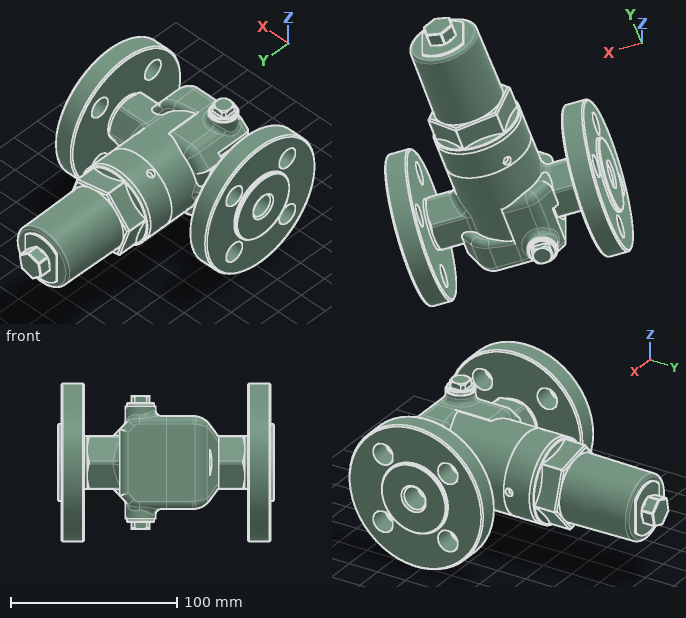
import cadquery as cq
import math


FLANGE_DIAMETER = 95.0
FLANGE_OUTER_X = 63.0
FLANGE_INNER_X = 49.0
FLANGE_EDGE_CHAMFER = 1.0
FACE_DIAMETER = 46.5
FACE_END_X = 65.0
FACE_CHAMFER = 0.7
BORE_DIAMETER = 15.0
BORE_CHAMFER = 1.3
BOLT_HOLE_DIAMETER = 14.0
BOLT_CIRCLE_DIAMETER = 65.0
BOLT_COUNT = 4

BARREL_DIAMETER = 55.0
BARREL_TOP_Y = 40.2
BARREL_BOTTOM_Y = -23.7
NOZZLE_FLATS = 32.0
NOZZLE_CORNER_FILLET = 1.8
NOZZLE_HEX_X = 46.0
NOZZLE_NECK_X = 47.3
NOZZLE_FILLET = 4.5

CHAMBER_HALF_HEIGHT = 28.0
CHAMBER_BOTTOM_Y = -28.5
CHAMBER_BOTTOM_FILLET = 4.7
INLET_TOP_FILLET = 6.5
INLET_SHOULDER_X = -20.0
INLET_SHOULDER_FILLET = 9.1
INLET_TOP_Y = 18.2
INLET_WALL_X = -27.7
INLET_NOSE = (-31.3, 16.4)
OUTLET_SHOULDER_X = 22.4
OUTLET_SHOULDER_FILLET = 12.7
OUTLET_TOP_Y = -7.6
OUTLET_NOSE = (31.7, 15.5)
OUTLET_BEND_X = 21.5
OUTLET_BEND_FILLET = 10.0
OUTLET_TOP_FILLET = 3.6
OUTLET_RISE_MID = (20.0, -4.2)
OUTLET_RISE_Y = 1.1

BOSS_X = -15.3
BOSS_Y = -17.3
BOSS_DIAMETER = 18.4
BOSS_TOP_Z = 33.7
BOSS_FILLET = 3.3
PLUG_COLLAR_DIAMETER = 16.5
PLUG_COLLAR_TOP_Z = 35.9
PLUG_COLLAR_CHAMFER = 0.5
PLUG_TOP_Z = 40.0
PLUG_SQUARE = 11.0
PLUG_CORNER_DIAMETER = 13.1
PLUG_TIP_DIAMETER = 11.0
PLUG_TIP_HEIGHT = 0.7

COLLAR_TOP_Y = 58.5
SPANNER_HOLE_DIAMETER = 5.1
SPANNER_HOLE_DEPTH = 3.6
SPANNER_HOLE_Y = 44.0
SPANNER_HOLE_COUNT = 3

BONNET_RIM_TOP_Y = 61.2
BONNET_HEX_TOP_Y = 76.3
BONNET_TOP_Y = 124.2
BONNET_FLATS = 45.9
BONNET_CORNER_DIAMETER = 52.8
BONNET_HEX_CHAMFER = 1.1
BONNET_HEX_ANGLE = 48.4
BONNET_CONE_HEIGHT = 2.0
BONNET_BASE_DIAMETER = 43.9
BONNET_CROWN_DIAMETER = 42.6
BONNET_CROWN_FILLET = 1.6

WASHER_DIAMETER = 33.9
WASHER_WIDTH = 25.9
WASHER_TOP_Y = 125.3

SCREW_SHANK_DIAMETER = 15.0
SCREW_HEAD_BOTTOM_Y = 126.5
SCREW_TOP_Y = 134.5
SCREW_FLATS = 16.8
SCREW_CORNER_DIAMETER = 19.0
SCREW_CHAMFER = 0.5
SCREW_HEX_ANGLE = 78.0


def y_disc(diameter, bottom, top):
    return cq.Workplane("XZ", origin=(0, bottom, 0)).circle(diameter / 2).extrude(bottom - top)


def y_cone(bottom_diameter, top_diameter, bottom, top):
    """Solid of revolution about Y with straight sides."""
    outline = cq.Workplane("XY").moveTo(0, bottom).lineTo(bottom_diameter / 2, bottom)
    outline = outline.lineTo(top_diameter / 2, top).lineTo(0, top).close()
    return outline.revolve(360, (0, 0, 0), (0, 1, 0))


def y_hexagon(flats, corner_diameter, first_corner, bottom, top, chamfer):
    """Hexagonal prism along Y with a chamfered top edge and its corners turned down."""
    corner_radius = flats / 2 / math.cos(math.pi / 6)
    corners = []
    for index in range(6):
        angle = math.radians(first_corner + 60 * index)
        corners.append((corner_radius * math.cos(angle), corner_radius * math.sin(angle)))
    prism = cq.Workplane("XZ", origin=(0, bottom, 0)).polyline(corners).close().extrude(bottom - top)
    prism = prism.faces(">Y").chamfer(chamfer)
    return prism.intersect(y_disc(corner_diameter, bottom, top))


def x_disc(diameter, start, end):
    return cq.Workplane("YZ", origin=(start, 0, 0)).circle(diameter / 2).extrude(end - start)


def mirrored_in_x(shape):
    return shape.mirror("YZ")


def make_right_flange():
    flange = x_disc(FLANGE_DIAMETER, FLANGE_INNER_X, FLANGE_OUTER_X).edges().chamfer(FLANGE_EDGE_CHAMFER)
    face = x_disc(FACE_DIAMETER, FLANGE_OUTER_X, FACE_END_X).faces(">X").chamfer(FACE_CHAMFER)
    flange = flange.union(face)
    bore = x_disc(BORE_DIAMETER, FLANGE_INNER_X, FACE_END_X)
    flange = flange.cut(bore)
    flange = flange.faces(">X").edges("%CIRCLE").edges(cq.selectors.RadiusNthSelector(0)).chamfer(BORE_CHAMFER)
    bolt_holes = (
        cq.Workplane("YZ", origin=(FLANGE_INNER_X, 0, 0))
        .polarArray(BOLT_CIRCLE_DIAMETER / 2, 360 / BOLT_COUNT / 2, 360, BOLT_COUNT)
        .circle(BOLT_HOLE_DIAMETER / 2)
        .extrude(FLANGE_OUTER_X - FLANGE_INNER_X)
    )
    return flange.cut(bolt_holes)


def make_right_nozzle():
    """Hexagonal nozzle with corners towards +Y and -Y and a turned neck against the flange."""
    corner_diameter = NOZZLE_FLATS / math.cos(math.pi / 6)
    hexagon = cq.Workplane("YZ").polygon(6, corner_diameter).extrude(NOZZLE_NECK_X)
    hexagon = hexagon.edges("|X").fillet(NOZZLE_CORNER_FILLET)
    turned = (
        x_disc(corner_diameter, 0, NOZZLE_NECK_X)
        .faces(">X")
        .chamfer(NOZZLE_NECK_X - NOZZLE_HEX_X, (corner_diameter - NOZZLE_FLATS) / 2)
    )
    neck = x_disc(NOZZLE_FLATS, NOZZLE_NECK_X, FLANGE_INNER_X)
    return hexagon.intersect(turned).union(neck)


def make_barrel_with_nozzles():
    barrel = y_disc(BARREL_DIAMETER, BARREL_BOTTOM_Y, BARREL_TOP_Y)
    nozzle = make_right_nozzle()
    body = barrel.union(nozzle).union(mirrored_in_x(nozzle))
    for side in (-1, 1):
        near_axis = (side * NOZZLE_FLATS / 2, -NOZZLE_FLATS, -NOZZLE_FLATS)
        past_barrel = (side * (BARREL_DIAMETER / 2 + NOZZLE_CORNER_FILLET), NOZZLE_FLATS, NOZZLE_FLATS)
        joint = cq.selectors.BoxSelector(near_axis, past_barrel)
        body = body.edges(joint).fillet(NOZZLE_FILLET)
    return body


def chamber_plan(shoulder_x, nose, bottom, top):
    """Chamber outline in X and Z, from the barrel axis to the nozzle, extruded along Y."""
    nose_x, nose_z = nose
    outline = [
        (0, CHAMBER_HALF_HEIGHT),
        (shoulder_x, CHAMBER_HALF_HEIGHT),
        (nose_x, nose_z),
        (nose_x, -nose_z),
        (shoulder_x, -CHAMBER_HALF_HEIGHT),
        (0, -CHAMBER_HALF_HEIGHT),
    ]
    return cq.Workplane("XZ", origin=(0, bottom, 0)).polyline(outline).close().extrude(bottom - top)


def round_shoulders(chamber, shoulder_x, radius):
    for z in (-CHAMBER_HALF_HEIGHT, CHAMBER_HALF_HEIGHT):
        shoulder = cq.selectors.NearestToPointSelector((shoulder_x, CHAMBER_BOTTOM_Y, z))
        chamber = chamber.edges("|Y").edges(shoulder).fillet(radius)
    return chamber


def make_inlet_chamber():
    """Chamber on the -X side: wide above the flow axis and stepped back to a wall below it."""
    chamber = chamber_plan(INLET_SHOULDER_X, INLET_NOSE, CHAMBER_BOTTOM_Y, INLET_TOP_Y)
    chamber = round_shoulders(chamber, INLET_SHOULDER_X, INLET_SHOULDER_FILLET)
    chamber = chamber.faces(">Y").edges("not(>X)").fillet(INLET_TOP_FILLET)
    step = (
        cq.Workplane("XY")
        .box(CHAMBER_HALF_HEIGHT, -CHAMBER_BOTTOM_Y, 2 * CHAMBER_HALF_HEIGHT, centered=(False, False, True))
        .translate((INLET_WALL_X - CHAMBER_HALF_HEIGHT, CHAMBER_BOTTOM_Y, 0))
    )
    chamber = chamber.cut(step)
    return chamber.faces("<Y").edges("not(>X)").fillet(CHAMBER_BOTTOM_FILLET)


def make_outlet_chamber():
    """Chamber on the +X side: a duct that turns from the bottom up to the nozzle."""
    nose_x = OUTLET_NOSE[0]
    plan = chamber_plan(OUTLET_SHOULDER_X, OUTLET_NOSE, CHAMBER_BOTTOM_Y, OUTLET_RISE_Y)
    plan = round_shoulders(plan, OUTLET_SHOULDER_X, OUTLET_SHOULDER_FILLET)
    side = (
        cq.Workplane("XY", origin=(0, 0, -CHAMBER_HALF_HEIGHT))
        .moveTo(0, CHAMBER_BOTTOM_Y)
        .lineTo(OUTLET_BEND_X, CHAMBER_BOTTOM_Y)
        .lineTo(nose_x, CHAMBER_BOTTOM_Y + nose_x - OUTLET_BEND_X)
        .lineTo(nose_x, OUTLET_RISE_Y)
        .threePointArc(OUTLET_RISE_MID, (0, OUTLET_TOP_Y))
        .close()
        .extrude(2 * CHAMBER_HALF_HEIGHT)
    )
    bend = cq.selectors.NearestToPointSelector((OUTLET_BEND_X, CHAMBER_BOTTOM_Y, 0))
    side = side.edges(bend).fillet(OUTLET_BEND_FILLET)
    chamber = plan.intersect(side)
    chamber = chamber.faces("<Y").edges("|X").fillet(CHAMBER_BOTTOM_FILLET)
    rise = cq.selectors.NearestToPointSelector((*OUTLET_RISE_MID, 0))
    return chamber.faces(rise).edges("not(<X)").fillet(OUTLET_TOP_FILLET)


def is_boss_root(edge):
    """True for the edges where a drain boss meets the chamber below its top rim."""
    on_boss = all(
        math.isclose(math.hypot(point.x - BOSS_X, point.y - BOSS_Y), BOSS_DIAMETER / 2, abs_tol=0.04)
        for point in (edge.startPoint(), edge.positionAt(0.5))
    )
    return on_boss and edge.geomType() != "LINE" and abs(edge.Center().z) < BOSS_TOP_Z - BOSS_FILLET


def add_drain_bosses(chamber):
    for side in (-1, 1):
        boss = cq.Workplane("XY").center(BOSS_X, BOSS_Y).circle(BOSS_DIAMETER / 2).extrude(side * BOSS_TOP_Z)
        chamber = chamber.union(boss)
    return chamber.edges().filter(is_boss_root).fillet(BOSS_FILLET)


def make_housing():
    """Barrel, nozzles and both chambers; the seam between the chambers stays at X = 0."""
    inlet = add_drain_bosses(make_inlet_chamber())
    housing = make_barrel_with_nozzles().union(inlet)
    return housing.union(make_outlet_chamber(), clean=False)


def make_plug():
    collar = (
        cq.Workplane("XY", origin=(BOSS_X, BOSS_Y, BOSS_TOP_Z))
        .circle(PLUG_COLLAR_DIAMETER / 2)
        .extrude(PLUG_COLLAR_TOP_Z - BOSS_TOP_Z)
        .faces(">Z")
        .chamfer(PLUG_COLLAR_CHAMFER)
    )
    base = cq.Workplane("XY", origin=(BOSS_X, BOSS_Y, PLUG_COLLAR_TOP_Z))
    head_height = PLUG_TOP_Z - PLUG_COLLAR_TOP_Z
    turned = (
        base.circle(PLUG_CORNER_DIAMETER / 2)
        .extrude(head_height)
        .faces(">Z")
        .chamfer(PLUG_TIP_HEIGHT, (PLUG_CORNER_DIAMETER - PLUG_TIP_DIAMETER) / 2)
    )
    head = base.rect(PLUG_SQUARE, PLUG_SQUARE).extrude(head_height).intersect(turned)
    return collar.union(head)


def make_collar():
    collar = y_disc(BARREL_DIAMETER, BARREL_TOP_Y, COLLAR_TOP_Y)
    hole = (
        cq.Workplane("YZ", origin=(BARREL_DIAMETER / 2 - SPANNER_HOLE_DEPTH, SPANNER_HOLE_Y, 0))
        .circle(SPANNER_HOLE_DIAMETER / 2)
        .extrude(BARREL_DIAMETER / 2)
    )
    for index in range(SPANNER_HOLE_COUNT):
        collar = collar.cut(hole.rotate((0, 0, 0), (0, 1, 0), index * 360 / SPANNER_HOLE_COUNT))
    return collar


def make_bonnet():
    rim = y_disc(BARREL_DIAMETER, COLLAR_TOP_Y, BONNET_RIM_TOP_Y)
    hexagon = y_hexagon(
        BONNET_FLATS,
        BONNET_CORNER_DIAMETER,
        BONNET_HEX_ANGLE,
        BONNET_RIM_TOP_Y,
        BONNET_HEX_TOP_Y,
        BONNET_HEX_CHAMFER,
    )
    root = y_cone(
        BONNET_CORNER_DIAMETER, BONNET_FLATS, BONNET_RIM_TOP_Y, BONNET_RIM_TOP_Y + BONNET_CONE_HEIGHT
    )
    cap = y_cone(BONNET_BASE_DIAMETER, BONNET_CROWN_DIAMETER, BONNET_HEX_TOP_Y, BONNET_TOP_Y)
    cap = cap.faces(">Y").edges().fillet(BONNET_CROWN_FILLET)
    return rim.union(hexagon).union(root).union(cap)


def make_washer():
    """Round washer with two flats, holding the screw shank in its centre hole."""
    blank = y_disc(WASHER_DIAMETER, BONNET_TOP_Y, WASHER_TOP_Y)
    flats = cq.Workplane("XY").box(WASHER_WIDTH, 2 * WASHER_TOP_Y, WASHER_DIAMETER)
    shank_hole = y_disc(SCREW_SHANK_DIAMETER, BONNET_TOP_Y, WASHER_TOP_Y)
    return blank.intersect(flats).cut(shank_hole)


def make_screw():
    shank = y_disc(SCREW_SHANK_DIAMETER, BONNET_TOP_Y, SCREW_HEAD_BOTTOM_Y)
    head = y_hexagon(
        SCREW_FLATS,
        SCREW_CORNER_DIAMETER,
        SCREW_HEX_ANGLE,
        SCREW_HEAD_BOTTOM_Y,
        SCREW_TOP_Y,
        SCREW_CHAMFER,
    )
    return shank.union(head)


right_flange = make_right_flange()
left_flange = mirrored_in_x(right_flange)
housing = make_housing()
upper_plug = make_plug()
lower_plug = upper_plug.mirror("XY")
collar = make_collar()
bonnet = make_bonnet()
washer = make_washer()
screw = make_screw()

bodies = [housing, right_flange, left_flange, upper_plug, lower_plug, collar, bonnet, washer, screw]
result = cq.Compound.makeCompound([body.val() for body in bodies])